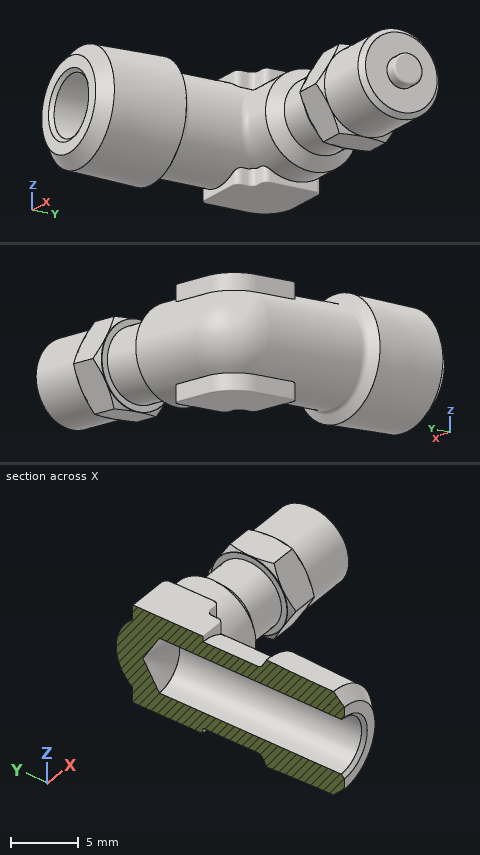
import cadquery as cq
import math

body_radius = 4.0
shoulder_end = 7.5
neck_radius = 3.0
crotch_fillet = 0.5

across_flats = 7.0
hex_start = 10.98
hex_end = 14.0
hex_washer_length = 0.07
hex_chamfer_angle = 30.0
collar_end = 18.99
collar_chamfer = 0.4
stub_radius = 1.25
stub_end = 20.0
stub_fillet = 0.2

taper_radius = 4.95
taper_tip_radius = 4.77
taper_flare_start = 9.0
taper_flare_angle = 60.0
taper_flare_fillet = 0.5
taper_chamfer = 1.0
taper_end = 17.0

bore_radius = 2.5
bore_floor = 0.0
bore_chamfer = 0.3
drill_point_angle = 118.0

pad_height = 4.5
pad_inner = 2.5
pad_outer = 4.02
pad_corner = 0.5
pad_edge_fillet = 0.1

tolerance = 0.002


def revolve_x(profile):
    """Turn (distance along +X, radius) points about the X axis."""
    return cq.Workplane("XY").polyline(profile).close().revolve(360, (0, 0, 0), (1, 0, 0))


def revolve_y(profile):
    """Turn (distance along -Y, radius) points about the Y axis."""
    points = [(radius, -distance) for distance, radius in profile]
    return cq.Workplane("XY").polyline(points).close().revolve(360, (0, 0, 0), (0, 1, 0))


def make_x_arm():
    shoulder_start = shoulder_end - (body_radius - neck_radius)
    collar_radius = across_flats / 2
    return revolve_x([
        (0, 0),
        (0, body_radius),
        (shoulder_start, body_radius),
        (shoulder_end, neck_radius),
        (hex_end, neck_radius),
        (hex_end, collar_radius),
        (collar_end - collar_chamfer, collar_radius),
        (collar_end, collar_radius - collar_chamfer),
        (collar_end, stub_radius),
        (stub_end, stub_radius),
        (stub_end, 0),
    ]).faces(">X").edges().fillet(stub_fillet)


def make_hexagon():
    """Hexagon with flats facing +Z and -Z, turned to a short round washer face and a cone at both ends."""
    length = hex_end - hex_start
    flat_radius = across_flats / 2
    corner_radius = across_flats / math.sqrt(3)
    cone_length = (corner_radius - flat_radius) * math.tan(math.radians(hex_chamfer_angle))
    cone_start = hex_start + hex_washer_length
    cone_end = hex_end - hex_washer_length
    prism = cq.Workplane("YZ", origin=(hex_start, 0, 0)).polygon(6, 2 * corner_radius).extrude(length)
    turned_envelope = revolve_x([
        (hex_start, 0),
        (hex_start, flat_radius),
        (cone_start, flat_radius),
        (cone_start + cone_length, corner_radius),
        (cone_end - cone_length, corner_radius),
        (cone_end, flat_radius),
        (hex_end, flat_radius),
        (hex_end, 0),
    ])
    return prism.intersect(turned_envelope)


def make_y_arm():
    """Straight arm that flares through a small fillet into the tapered end."""
    flare = math.radians(taper_flare_angle)
    flare_corner = taper_flare_start + taper_flare_fillet * math.tan(flare / 2)
    crest = flare_corner + (taper_radius - body_radius) / math.tan(flare)
    arc_mid = (
        body_radius + taper_flare_fillet * (1 - math.cos(flare / 2)),
        -(taper_flare_start + taper_flare_fillet * math.sin(flare / 2)),
    )
    arc_end = (
        body_radius + taper_flare_fillet * (1 - math.cos(flare)),
        -(taper_flare_start + taper_flare_fillet * math.sin(flare)),
    )
    return (
        cq.Workplane("XY")
        .lineTo(body_radius, 0)
        .lineTo(body_radius, -taper_flare_start)
        .threePointArc(arc_mid, arc_end)
        .lineTo(taper_radius, -crest)
        .lineTo(taper_tip_radius, -(taper_end - taper_chamfer))
        .lineTo(taper_tip_radius - taper_chamfer, -taper_end)
        .lineTo(0, -taper_end)
        .close()
        .revolve(360, (0, 0, 0), (0, 1, 0))
    )


def is_pad_corner(edge):
    """True for the sharp upright edges; the large arc runs smoothly into its sides on the axes."""
    place = edge.Center()
    return min(abs(place.x), abs(place.y)) > pad_inner / 2


def make_pads():
    """L-shaped prism through the elbow; only its two ends stand proud of the body."""
    arc_mid = pad_inner / math.sqrt(2)
    prism = (
        cq.Workplane("XY", origin=(0, 0, -pad_height))
        .moveTo(-pad_inner, 0)
        .threePointArc((-arc_mid, arc_mid), (0, pad_inner))
        .lineTo(pad_outer, pad_inner)
        .lineTo(pad_outer, -pad_inner)
        .lineTo(pad_inner, -pad_inner)
        .lineTo(pad_inner, -pad_outer)
        .lineTo(-pad_inner, -pad_outer)
        .close()
        .extrude(2 * pad_height)
    )
    rounded = prism.edges("|Z").filter(is_pad_corner).fillet(pad_corner)
    return rounded.faces("|Z").edges().fillet(pad_edge_fillet)


def make_bore():
    tip_length = bore_radius / math.tan(math.radians(drill_point_angle / 2))
    return revolve_y([
        (taper_end, 0),
        (taper_end, bore_radius + bore_chamfer),
        (taper_end - bore_chamfer, bore_radius),
        (bore_floor, bore_radius),
        (bore_floor - tip_length, 0),
    ])


def is_crotch(edge):
    """True for the mitre edge left exposed between the arms, beyond the notch of the pads."""
    middle = edge.positionAt(0.5)
    on_diagonal = abs(middle.x + middle.y) < tolerance
    at_body_surface = abs(math.hypot(middle.x, middle.z) - body_radius) < tolerance
    return on_diagonal and at_body_surface and middle.x > pad_inner


elbow_ball = cq.Workplane("XY").sphere(body_radius)
elbow = make_x_arm().union(make_y_arm()).union(elbow_ball).union(make_pads())
elbow = elbow.edges().filter(is_crotch).fillet(crotch_fillet)
result = elbow.union(make_hexagon()).cut(make_bore())